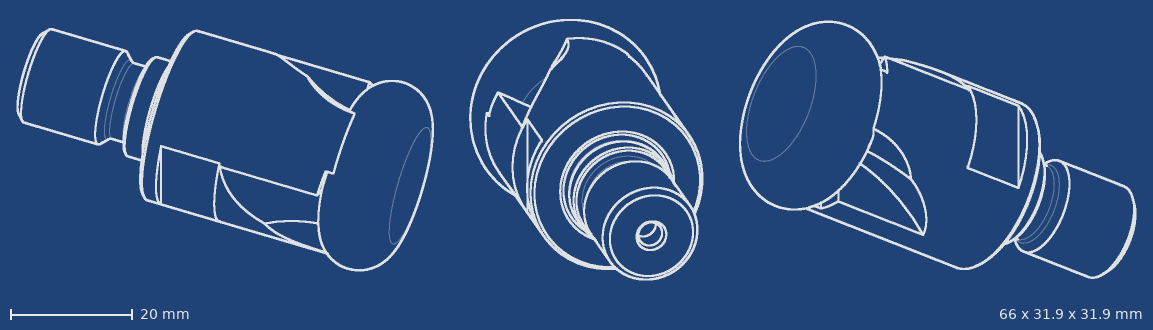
import cadquery as cq
import math

length = 66.0
beyond = 26.4

shank_radius = 16.0 / 2
shank_chamfer = 1.0
shank_end = 13.9
neck_radius = 13.0 / 2
neck_corner = shank_end + shank_radius - neck_radius
neck_blend = 1.1
blend_reach = neck_blend * math.tan(math.radians(22.5))
blend_slope_reach = blend_reach * math.sin(math.radians(45))
neck_end = 18.2
neck_fillet = 0.65
collar_radius = 17.0 / 2
collar_start = neck_end + neck_fillet
collar_chamfer = 0.4
collar_end = 22.35
relief_radius = 16.6 / 2
relief_start = 22.75
relief_mouth_radius = 9.6
relief_depth = 0.2
relief_fillet = 0.7

hole_radius = 4.0 / 2
hole_mouth_radius = 2.5
hole_mouth_depth = (hole_mouth_radius - hole_radius) / math.tan(math.radians(30))
hole_depth = 5.3
hole_tip_depth = hole_radius / math.tan(math.radians(59))

body_radius = 29 / 2
body_start = 23.95
body_chamfer = 0.5
relief_floor = body_start + relief_depth
flat_start = 26.9
flat_end = 37.1
flat_distance = 12.0

head_radius = 31.9 / 2
head_round = 6.0
head_center = length - head_round
head_start = head_center - head_round
ring_radius = head_radius - head_round

flute_count = 3
wall_angle = 148.0
floor_angle = wall_angle - 26
floor_distance = 4.1
floor_curve = 25.7
land_angle = wall_angle + 8
land_distance = 9.1
land_curve = 18.5
flute_low_point = 56.75

notch_height = 4.3
notch_start_at_wall = 54.2
notch_start_at_top = 54.7


def axial_plane(angle):
    """Plane through the X axis; its local Y points outwards at the given angle."""
    turn = math.radians(angle)
    return cq.Plane((0, 0, 0), (1, 0, 0), (0, -math.sin(turn), math.cos(turn)))


def revolve_about_x(outline):
    return outline.close().revolve(360, (0, 0, 0), (1, 0, 0))


def make_shank_and_body():
    outline = (
        cq.Workplane("XY")
        .moveTo(0, 0)
        .lineTo(0, shank_radius - shank_chamfer)
        .lineTo(shank_chamfer, shank_radius)
        .lineTo(shank_end, shank_radius)
        .lineTo(neck_corner - blend_slope_reach, neck_radius + blend_slope_reach)
        .radiusArc((neck_corner + blend_reach, neck_radius), -neck_blend)
        .lineTo(neck_end, neck_radius)
        .radiusArc((collar_start, neck_radius + neck_fillet), -neck_fillet)
        .lineTo(collar_start, collar_radius - collar_chamfer)
        .lineTo(collar_start + collar_chamfer, collar_radius)
        .lineTo(collar_end, collar_radius)
        .lineTo(relief_start, relief_radius)
        .lineTo(relief_floor - relief_fillet, relief_radius)
        .radiusArc((relief_floor, relief_radius + relief_fillet), -relief_fillet)
        .lineTo(body_start, relief_mouth_radius)
        .lineTo(body_start, body_radius - body_chamfer)
        .lineTo(body_start + body_chamfer, body_radius)
        .lineTo(head_center, body_radius)
        .lineTo(head_center, 0)
    )
    return revolve_about_x(outline)


def make_head():
    outline = (
        cq.Workplane("XY")
        .moveTo(head_start, 0)
        .lineTo(head_start, ring_radius)
        .threePointArc((head_center, head_radius), (length, ring_radius))
        .lineTo(length, 0)
    )
    return revolve_about_x(outline)


def make_center_hole():
    outline = (
        cq.Workplane("XY")
        .lineTo(0, hole_mouth_radius)
        .lineTo(hole_mouth_depth, hole_radius)
        .lineTo(hole_depth, hole_radius)
        .lineTo(hole_depth + hole_tip_depth, 0)
    )
    return revolve_about_x(outline)


def make_flat_cutter(side):
    return (
        cq.Workplane("XY")
        .box(flat_end - flat_start, beyond, 2 * beyond, centered=(False, False, True))
        .translate((flat_start, flat_distance if side > 0 else -flat_distance - beyond, 0))
    )


def make_curved_cutter(angle, distance, curve):
    """Everything outside a surface that sinks along an arc to its low point."""
    rim = distance + curve
    start = flute_low_point - curve
    middle = math.radians(45)
    middle_point = (
        flute_low_point - curve * math.sin(middle),
        distance + curve * (1 - math.cos(middle)),
    )
    return (
        cq.Workplane(axial_plane(angle))
        .moveTo(start, rim)
        .threePointArc(middle_point, (flute_low_point, distance))
        .lineTo(length, distance)
        .lineTo(length, rim + beyond)
        .lineTo(start, rim + beyond)
        .close()
        .extrude(beyond, both=True)
    )


def make_flute_cutter():
    """Flute on the far side of the radial wall, plus the notch behind the wall."""
    wall_side = (
        cq.Workplane(axial_plane(wall_angle))
        .rect(2 * length, 2 * beyond)
        .extrude(beyond)
    )
    floor = make_curved_cutter(floor_angle, floor_distance, floor_curve)
    land = make_curved_cutter(land_angle, land_distance, land_curve)
    notch = (
        cq.Workplane(axial_plane(wall_angle + 90))
        .moveTo(notch_start_at_wall, 0)
        .lineTo(notch_start_at_top, -notch_height)
        .lineTo(head_center, -notch_height)
        .lineTo(head_center, 0)
        .close()
        .extrude(-beyond)
    )
    return floor.union(land).intersect(wall_side).union(notch)


body = make_shank_and_body().cut(make_center_hole())
for side in (-1, 1):
    body = body.cut(make_flat_cutter(side))

flute_cutter = make_flute_cutter()
for index in range(flute_count):
    turn = index * 360 / flute_count
    body = body.cut(flute_cutter.rotate((0, 0, 0), (1, 0, 0), turn))

result = body.union(make_head())